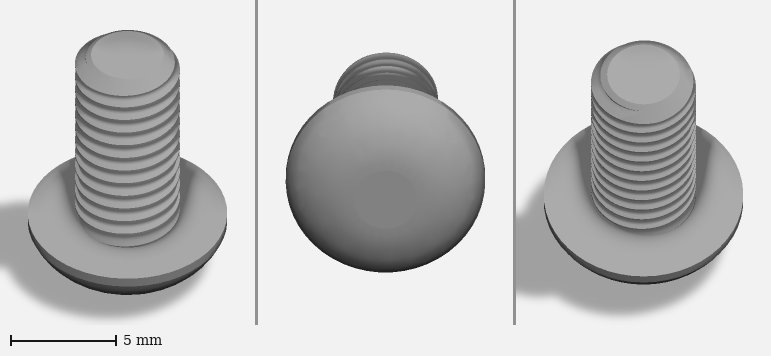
import cadquery as cq
import math

thread_diameter = 5.0
thread_pitch = 0.8
shank_length = 10.0
head_diameter = 9.5
head_height = 2.74
head_rim_height = 0.5
head_crown_flat_diameter = 3.0

flank_angle = math.radians(30)
crest_flat = thread_pitch / 8
root_diameter = 3.98

groove_start_angle = 180.0
groove_depth_below_tip = 0.24
overrun_turns = 2

tip_flat_diameter = 3.46
chamfer_angle = math.radians(35)

thread_radius = thread_diameter / 2
root_radius = root_diameter / 2
head_radius = head_diameter / 2


def make_head():
    """Straight rim at the bearing face, then a dome arc running tangent into the flat crown."""
    crown_radius = head_crown_flat_diameter / 2
    dome_width = head_radius - crown_radius
    dome_height = head_height - head_rim_height
    dome_radius = (dome_width**2 + dome_height**2) / (2 * dome_height)
    half_dome_angle = math.asin(dome_width / dome_radius) / 2
    dome_middle = (
        crown_radius + dome_radius * math.sin(half_dome_angle),
        -head_height + dome_radius * (1 - math.cos(half_dome_angle)),
    )
    return (
        cq.Workplane("XZ")
        .lineTo(head_radius, 0)
        .lineTo(head_radius, -head_rim_height)
        .threePointArc(dome_middle, (crown_radius, -head_height))
        .lineTo(0, -head_height)
        .close()
        .revolve(360, (0, 0, 0), (0, 1, 0))
    )


def make_shank_envelope():
    """Space from the bearing face to the tip, narrowing at the tip along the lead-in cone."""
    tip_radius = tip_flat_diameter / 2
    cone_height = (head_radius - tip_radius) * math.tan(chamfer_angle)
    return (
        cq.Workplane("XZ")
        .lineTo(head_radius, 0)
        .lineTo(head_radius, shank_length - cone_height)
        .lineTo(tip_radius, shank_length)
        .lineTo(0, shank_length)
        .close()
        .revolve(360, (0, 0, 0), (0, 1, 0))
    )


def make_threaded_rod():
    """Rod at the major diameter with a right-handed helical groove, longer than the shank both ways."""
    outer_radius = thread_radius + crest_flat / 2
    crest_half_gap = (thread_pitch - crest_flat) / 2
    outer_half_width = crest_half_gap + (outer_radius - thread_radius) * math.tan(flank_angle)
    root_half_width = crest_half_gap - (thread_radius - root_radius) * math.tan(flank_angle)

    shank_turns = math.ceil(shank_length / thread_pitch)
    groove_length = (shank_turns + 2 * overrun_turns) * thread_pitch
    groove_start_z = shank_length - groove_depth_below_tip - (shank_turns + overrun_turns) * thread_pitch
    helix = cq.Wire.makeHelix(thread_pitch, groove_length, root_radius)
    groove = (
        cq.Workplane("XZ")
        .moveTo(root_radius, root_half_width)
        .lineTo(outer_radius, outer_half_width)
        .lineTo(outer_radius, -outer_half_width)
        .lineTo(root_radius, -root_half_width)
        .close()
        .sweep(cq.Workplane(helix), isFrenet=True)
        .rotate((0, 0, 0), (0, 0, 1), groove_start_angle)
        .translate((0, 0, groove_start_z))
    )

    end_margin = overrun_turns * thread_pitch
    rod_length = groove_length + 2 * end_margin
    rod = (
        cq.Workplane("XY", origin=(0, 0, groove_start_z - end_margin))
        .circle(thread_radius)
        .extrude(rod_length)
    )
    return rod.cut(groove)


shank = make_threaded_rod().intersect(make_shank_envelope())
result = make_head().union(shank)